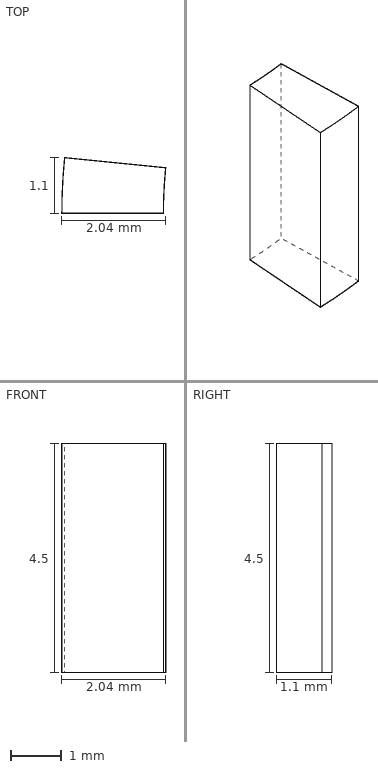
import cadquery as cq
import math

MEAN_RADIUS = 10.0
WALL = 2.0
SECTOR_ANGLE = 0.1
HEIGHT = 4.5

OUTER_RADIUS = MEAN_RADIUS + WALL / 2
INNER_RADIUS = MEAN_RADIUS - WALL / 2


def ring_point(radius, angle):
    """Point at the given radius, turned by angle from the front radial face.

    The ring axis lies on the +X side, so the front outer edge falls at the origin.
    """
    return (OUTER_RADIUS - radius * math.cos(angle), radius * math.sin(angle))


def sector_profile():
    """Outline in the XY plane: flat front, concave inner side, radial back, convex outer side."""
    middle = SECTOR_ANGLE / 2
    return (
        cq.Workplane("XY")
        .moveTo(*ring_point(OUTER_RADIUS, 0))
        .lineTo(*ring_point(INNER_RADIUS, 0))
        .threePointArc(ring_point(INNER_RADIUS, middle), ring_point(INNER_RADIUS, SECTOR_ANGLE))
        .lineTo(*ring_point(OUTER_RADIUS, SECTOR_ANGLE))
        .threePointArc(ring_point(OUTER_RADIUS, middle), ring_point(OUTER_RADIUS, 0))
        .close()
    )


result = sector_profile().extrude(HEIGHT)